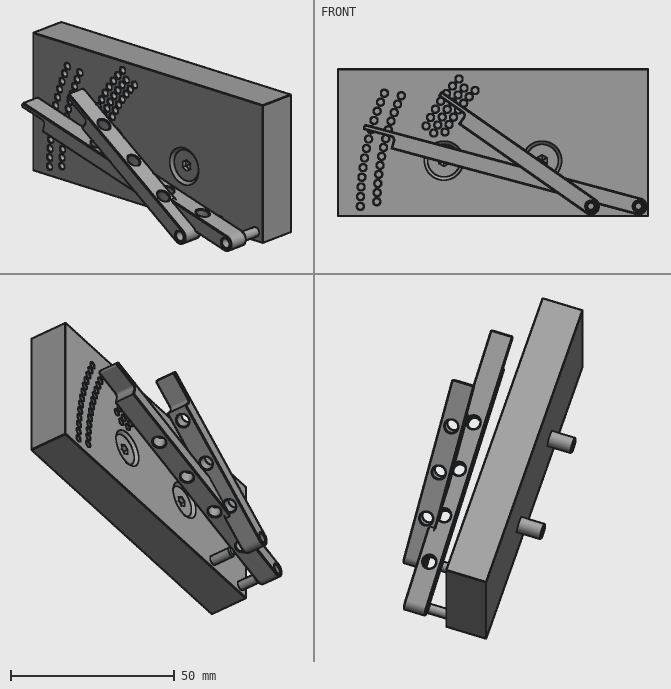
import cadquery as cq
import math


BLOCK_LENGTH = 95.0
BLOCK_THICKNESS = 13.0
BLOCK_HEIGHT = 45.0
BLOCK_EDGE_CHAMFER = 0.2

PIVOT_HEIGHT = 3.0
LONG_PIVOT = (BLOCK_LENGTH - PIVOT_HEIGHT, PIVOT_HEIGHT)
SHORT_PIVOT = (77.4, PIVOT_HEIGHT)

INDEX_HOLE_DIAMETER = 2.0
INDEX_HOLE_DEPTH = 5.0
INDEX_HOLE_CHAMFER = 0.2
LONG_ARC_STEP = 2.0
LONG_ARC_HOLES = 13
LONG_ARCS = [(85.0, 0.0), (80.0, 1.0)]
SHORT_ARC_STEP = 3.0
SHORT_ARC_HOLES = 7
SHORT_ARCS = [(56.05, 26.0), (53.0, 25.0), (50.1, 27.0)]

SCREW_SPACING = 30.0
SCREW_CENTRE_X = BLOCK_LENGTH / 2
SCREW_HEIGHT = 17.0
SCREW_DIAMETER = 4.9
SCREW_HEAD_DIAMETER = 10.0
SCREW_PROTRUSION = 7.7
SCREW_END_CHAMFER = 0.4
COUNTERSINK_DIAMETER = 12.0
HEAD_RECESS = (COUNTERSINK_DIAMETER - SCREW_HEAD_DIAMETER) / 2
HEAD_HEIGHT = (SCREW_HEAD_DIAMETER - SCREW_DIAMETER) / 2
SOCKET_WIDTH = 3.0
SOCKET_DEPTH = 1.5
SOCKET_POINT_DEPTH = 0.9
SOCKET_SIDES = 6

PIN_DIAMETER = 3.0
PIN_EMBEDDED = 10.0
PIN_CHAMFER = 0.5
LONG_PIN_EXPOSED = 6.7
SHORT_PIN_EXPOSED = 7.3

ARM_WIDTH = 5.0
ARM_THICKNESS = 7.0
ARM_EDGE_CHAMFER = 0.3
TONGUE_THICKNESS = 1.5
STEP_FILLET = 1.0
PIVOT_HOLE_CHAMFER = 0.3
CROSS_HOLE_DIAMETER = 4.0
CROSS_HOLE_CHAMFER = 0.3
CROSS_HOLE_PITCH = 15.0
FIRST_CROSS_HOLE = 13.5

LONG_ARM_LENGTH = 87.8
LONG_ARM_STEP = 77.5
LONG_ARM_ANGLE = 15.0
LONG_ARM_HOLES = 4
LONG_ARM_BACK = -6.8
LONG_TIP_SETBACK = 0.8
LONG_TIP_FILLET = 0.6

SHORT_ARM_LENGTH = 57.5
SHORT_ARM_STEP = 47.5
SHORT_ARM_ANGLE = 35.0
SHORT_ARM_HOLES = 3
SHORT_ARM_BACK = -11.7


def turned(profile, centre):
    """Solid of revolution about a Y axis through centre, from (radius, y) points."""
    body = cq.Workplane("XY").polyline(profile).close().revolve(360, (0, 0), (0, 1))
    return body.translate((centre[0], 0, centre[1]))


def screw_centres():
    half = SCREW_SPACING / 2
    return [(SCREW_CENTRE_X + side * half, SCREW_HEIGHT) for side in (-1, 1)]


def arc_points(pivot, arcs, step, count):
    """Hole centres on arcs to the left of a pivot."""
    points = []
    for radius, start in arcs:
        for i in range(count):
            angle = math.radians(start + i * step)
            points.append((pivot[0] - radius * math.cos(angle), pivot[1] + radius * math.sin(angle)))
    return points


def index_holes():
    points = arc_points(LONG_PIVOT, LONG_ARCS, LONG_ARC_STEP, LONG_ARC_HOLES)
    points += arc_points(SHORT_PIVOT, SHORT_ARCS, SHORT_ARC_STEP, SHORT_ARC_HOLES)
    radius = INDEX_HOLE_DIAMETER / 2
    mouth = radius + INDEX_HOLE_CHAMFER
    profile = [
        (0, 0),
        (mouth, 0),
        (radius, INDEX_HOLE_CHAMFER),
        (radius, INDEX_HOLE_DEPTH),
        (0, INDEX_HOLE_DEPTH),
    ]
    return [turned(profile, point).val() for point in points]


def screw_hole(centre):
    shank = SCREW_DIAMETER / 2
    cone_end = HEAD_RECESS + HEAD_HEIGHT
    profile = [
        (0, 0),
        (COUNTERSINK_DIAMETER / 2, 0),
        (shank, cone_end),
        (shank, BLOCK_THICKNESS),
        (0, BLOCK_THICKNESS),
    ]
    return turned(profile, centre)


def make_block():
    block = cq.Workplane("XY").box(BLOCK_LENGTH, BLOCK_THICKNESS, BLOCK_HEIGHT, centered=False)
    block = block.edges().chamfer(BLOCK_EDGE_CHAMFER)
    for centre in screw_centres():
        block = block.cut(screw_hole(centre))
    pin_sketch = cq.Workplane("XZ").pushPoints([LONG_PIVOT, SHORT_PIVOT]).circle(PIN_DIAMETER / 2)
    block = block.cut(pin_sketch.extrude(-PIN_EMBEDDED))
    return cq.Workplane(block.val().cut(*index_holes()))


def hex_socket(centre):
    """Hexagonal socket with corners at top and bottom and a pyramid-shaped floor."""
    corner = SOCKET_WIDTH / math.sqrt(3)
    angles = [math.pi / 2 + 2 * math.pi * i / SOCKET_SIDES for i in range(SOCKET_SIDES)]
    corners = [(corner * math.cos(a), corner * math.sin(a)) for a in angles]
    bottom = HEAD_RECESS + SOCKET_DEPTH
    mouth = cq.Workplane("XZ", origin=(0, HEAD_RECESS, 0))
    socket = mouth.polyline(corners).close().extrude(-SOCKET_DEPTH)
    apex = cq.Vector(0, bottom + SOCKET_POINT_DEPTH, 0)
    rim = [cq.Vector(x, bottom, z) for x, z in corners]
    faces = [cq.Face.makeFromWires(cq.Wire.makePolygon(rim, close=True))]
    for i in range(SOCKET_SIDES):
        side = cq.Wire.makePolygon([rim[i - 1], rim[i], apex], close=True)
        faces.append(cq.Face.makeFromWires(side))
    point = cq.Solid.makeSolid(cq.Shell.makeShell(faces))
    return socket.union(cq.Workplane(point)).translate((centre[0], 0, centre[1]))


def make_screw(centre):
    shank = SCREW_DIAMETER / 2
    end = BLOCK_THICKNESS + SCREW_PROTRUSION
    profile = [
        (0, HEAD_RECESS),
        (SCREW_HEAD_DIAMETER / 2, HEAD_RECESS),
        (shank, HEAD_RECESS + HEAD_HEIGHT),
        (shank, end - SCREW_END_CHAMFER),
        (shank - SCREW_END_CHAMFER, end),
        (0, end),
    ]
    return turned(profile, centre).cut(hex_socket(centre))


def make_pin(pivot, exposed):
    radius = PIN_DIAMETER / 2
    profile = [
        (0, PIN_EMBEDDED),
        (radius, PIN_EMBEDDED),
        (radius, PIN_CHAMFER - exposed),
        (radius - PIN_CHAMFER, -exposed),
        (0, -exposed),
    ]
    return turned(profile, pivot)


def cross_hole(distance):
    """Hole down through an arm, chamfered at both mouths."""
    half = ARM_WIDTH / 2
    radius = CROSS_HOLE_DIAMETER / 2
    mouth = radius + CROSS_HOLE_CHAMFER
    shoulder = half - CROSS_HOLE_CHAMFER
    profile = [(0, -half), (mouth, -half), (radius, -shoulder), (radius, shoulder), (mouth, half), (0, half)]
    hole = cq.Workplane("XZ").polyline(profile).close().revolve(360, (0, 0), (0, 1))
    return hole.translate((-distance, -ARM_THICKNESS / 2, 0))


def pivot_hole():
    """Hole for the pin through an arm, chamfered front and back."""
    radius = PIN_DIAMETER / 2
    mouth = radius + PIVOT_HOLE_CHAMFER
    front = -ARM_THICKNESS
    profile = [
        (0, 0),
        (mouth, 0),
        (radius, -PIVOT_HOLE_CHAMFER),
        (radius, front + PIVOT_HOLE_CHAMFER),
        (mouth, front),
        (0, front),
    ]
    return turned(profile, (0, 0))


def arm_blank(length, step, tip_setback=0, tip_fillet=0):
    """Arm without holes, lying level with its pivot at the origin and its tip toward -X."""
    half = ARM_WIDTH / 2
    under_tongue = half - TONGUE_THICKNESS
    arm = (
        cq.Workplane("XZ")
        .moveTo(0, half)
        .lineTo(tip_setback - length, half)
        .lineTo(-length, under_tongue)
        .lineTo(-step, under_tongue)
        .lineTo(-step, -half)
        .lineTo(0, -half)
        .threePointArc((half, 0), (0, half))
        .close()
        .extrude(ARM_THICKNESS)
    )
    inner_corner = cq.selectors.NearestToPointSelector((-step, -ARM_THICKNESS / 2, under_tongue))
    arm = arm.edges("|Y").edges(inner_corner).fillet(STEP_FILLET)
    if tip_fillet:
        lower_tip = cq.selectors.NearestToPointSelector((-length, -ARM_THICKNESS / 2, under_tongue))
        arm = arm.edges("|Y").edges(lower_tip).fillet(tip_fillet)
    return arm.faces("<Y or >Y").chamfer(ARM_EDGE_CHAMFER)


def drilled(blank, hole_count):
    arm = blank.cut(pivot_hole())
    for i in range(hole_count):
        arm = arm.cut(cross_hole(FIRST_CROSS_HOLE + i * CROSS_HOLE_PITCH))
    return arm


def placed(arm, pivot, angle, back):
    """Swing an arm's tip up about its pivot and set its back face at Y = back."""
    return arm.rotate((0, 0, 0), (0, 1, 0), angle).translate((pivot[0], back, pivot[1]))


def make_short_arm():
    arm = drilled(arm_blank(SHORT_ARM_LENGTH, SHORT_ARM_STEP), SHORT_ARM_HOLES)
    return placed(arm, SHORT_PIVOT, SHORT_ARM_ANGLE, SHORT_ARM_BACK)


def make_long_arm():
    """Long arm, notched across its front where the short arm crosses it."""
    blank = arm_blank(LONG_ARM_LENGTH, LONG_ARM_STEP, LONG_TIP_SETBACK, LONG_TIP_FILLET)
    arm = placed(drilled(blank, LONG_ARM_HOLES), LONG_PIVOT, LONG_ARM_ANGLE, LONG_ARM_BACK)
    crossing = arm_blank(SHORT_ARM_LENGTH, SHORT_ARM_STEP)
    return arm.cut(placed(crossing, SHORT_PIVOT, SHORT_ARM_ANGLE, SHORT_ARM_BACK))


block = make_block()
screws = [make_screw(centre) for centre in screw_centres()]
long_pin = make_pin(LONG_PIVOT, LONG_PIN_EXPOSED)
short_pin = make_pin(SHORT_PIVOT, SHORT_PIN_EXPOSED)
long_arm = make_long_arm()
short_arm = make_short_arm()

result = cq.Compound.makeCompound(
    [
        block.val(),
        *[screw.val() for screw in screws],
        long_pin.val(),
        short_pin.val(),
        long_arm.val(),
        short_arm.val(),
    ]
)